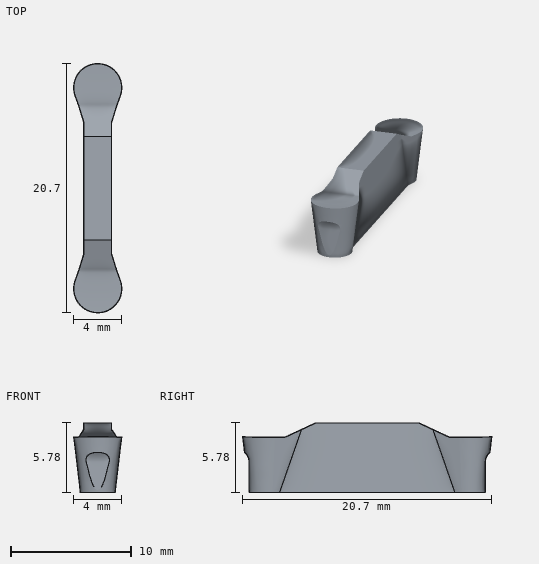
import cadquery as cq
import math


insert_length = 20.67
web_width = 2.32
web_height = 5.78

head_radius = 2.0
clearance_angle = math.radians(6.8)
neck_angle = math.radians(20)
neck_end_half_width = 0.9

ramp_top_setback = 6.06
ramp_top_y = insert_length / 2 - ramp_top_setback
ramp_angle = math.radians(25)
ramp_foot_radius = 0.57
floor_height = 4.59
tip_rise = 0.045
crown_length = 1.26
crown_height = 0.003

head_centre_y = insert_length / 2 - head_radius - tip_rise * math.tan(clearance_angle)

notch_inset = 0.53
notch_wall_height = 2.55
notch_radius = 1.0

overshoot = 1.0


def head_section(height):
    """Horizontal outline of the +Y head and its neck at one height."""
    radius = head_radius - (floor_height - height) * math.tan(clearance_angle)
    tangent_x = radius * math.cos(neck_angle)
    tangent_y = head_centre_y - radius * math.sin(neck_angle)
    neck_end_y = tangent_y - (tangent_x - neck_end_half_width) / math.tan(neck_angle)
    return (
        cq.Workplane("XY", origin=(0, 0, height))
        .moveTo(-neck_end_half_width, neck_end_y)
        .lineTo(neck_end_half_width, neck_end_y)
        .lineTo(tangent_x, tangent_y)
        .threePointArc((0, head_centre_y + radius), (-tangent_x, tangent_y))
        .close()
        .val()
    )


def notch_cutter():
    """Upright flat in the head front, running out through a concave arc."""
    wall_y = insert_length / 2 - notch_inset
    arc_mid_offset = notch_radius * math.sqrt(0.5)
    arc_mid = (wall_y + notch_radius - arc_mid_offset, notch_wall_height + arc_mid_offset)
    return (
        cq.Workplane("YZ")
        .moveTo(wall_y, -overshoot)
        .lineTo(wall_y, notch_wall_height)
        .threePointArc(arc_mid, (wall_y + notch_radius, notch_wall_height + notch_radius))
        .lineTo(wall_y + notch_radius, -overshoot)
        .close()
        .extrude(head_radius + overshoot, both=True)
    )


def make_head():
    """Tapered +Y head with neck, left full height for the later top trim."""
    sections = [head_section(0), head_section(web_height)]
    head = cq.Workplane(cq.Solid.makeLoft(sections, True))
    return head.cut(notch_cutter())


def top_envelope():
    """Side profile under the top surface of the +Y half, swept along X."""
    ramp_height = web_height - floor_height
    ramp_foot_y = ramp_top_y + ramp_height / math.tan(ramp_angle)
    foot_setback = ramp_foot_radius * math.tan(ramp_angle / 2)
    foot_upper = (
        ramp_foot_y - foot_setback * math.cos(ramp_angle),
        floor_height + foot_setback * math.sin(ramp_angle),
    )
    foot_lower = (ramp_foot_y + foot_setback, floor_height)
    foot_mid = (
        foot_lower[0] - ramp_foot_radius * math.sin(ramp_angle / 2),
        floor_height + ramp_foot_radius * (1 - math.cos(ramp_angle / 2)),
    )

    hollow_radius = (head_radius**2 + tip_rise**2) / (2 * tip_rise)
    hollow_end = head_radius + overshoot

    def hollow_point(offset):
        rise = hollow_radius - math.sqrt(hollow_radius**2 - offset**2)
        return (head_centre_y + offset, floor_height + rise)

    return (
        cq.Workplane("YZ")
        .moveTo(0, 0)
        .lineTo(0, web_height)
        .lineTo(ramp_top_y, web_height)
        .lineTo(*foot_upper)
        .threePointArc(foot_mid, foot_lower)
        .lineTo(head_centre_y - crown_length, floor_height)
        .threePointArc(
            (head_centre_y - crown_length / 2, floor_height + crown_height),
            (head_centre_y, floor_height),
        )
        .threePointArc(hollow_point(hollow_end / 2), hollow_point(hollow_end))
        .lineTo(head_centre_y + hollow_end, 0)
        .close()
        .extrude(head_radius + overshoot, both=True)
    )


def make_web():
    """Straight web of the +Y half, ending inside the head."""
    return cq.Workplane("XY").box(
        web_width, head_centre_y, web_height, centered=(True, False, False)
    )


half_insert = make_web().union(make_head()).intersect(top_envelope())
result = half_insert.union(half_insert.mirror("XZ")).clean()